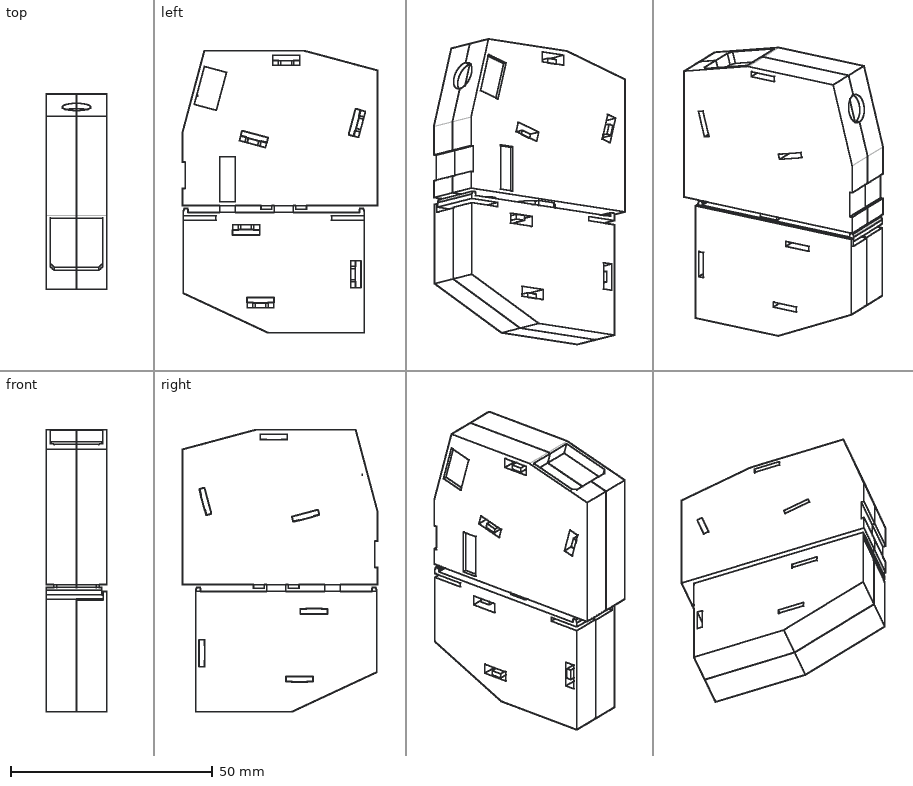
import cadquery as cq
import math

thickness = 15.1
length = 48.5
height = 70.1
half = thickness / 2
seam_gap = 0.1
seam_left = -seam_gap / 2
seam_right = seam_gap / 2
front_y = -length / 2
back_y = length / 2

upper_bottom = 31.6
slope_angle = 15.0
front_slope_run = 18.4
back_slope_run = 5.5
slope_sin = math.sin(math.radians(slope_angle))
slope_cos = math.cos(math.radians(slope_angle))
front_slope_drop = front_slope_run * slope_sin / slope_cos
back_slope_drop = back_slope_run * slope_cos / slope_sin
front_ridge_y = front_y + front_slope_run
back_ridge_y = back_y - back_slope_run

notch_depth = 0.7
notch_bottom = 35.9
notch_height = 6.5

pocket_width = 13.1
pocket_length = 13.4
pocket_depth = 3.0
pocket_rim = 0.7
pocket_chamfer = 1.0

finger_hole_diameter = 7.0
finger_hole_depth = 1.3
finger_hole_drop = 8.7
side_recess_depth = 1.0
grip_length = 9.75
grip_width = 5.7
grip_rim = 1.05

pin_diameter = 3.9
pin_y = 13.05
pin_recess_bottom = 32.5
pin_recess_height = 11.2

boss_y = -0.9
boss_diameter = 11.35
boss_height = 1.0
boss_slot_width = 5.9
post_width = 4.8

base_front_y = -20.95
base_back_y = 24.05
base_slope_angle = 25.0
base_slope_run = 21.1
base_slope_rise = base_slope_run * math.tan(math.radians(base_slope_angle))

plate_top = 29.9
plate_bottom = 29.0
web_bottom = 28.0
plate_right_x = 6.3
wall_inner_x = 6.6
undercut_length = 8.1
right_top_gap = 0.175

lip_width = 1.8
lip_height = 1.0
lip_taper_start = 0.2
lip_taper_end = 0.55
lip_taper_inset = 0.2
lip_top_inset = 0.4

window_length = 6.65
window_height = 2.5
ramp_height = 1.3
ramp_angle = 36.0
ramp_run = ramp_height / math.tan(math.radians(ramp_angle))
ramp_spacing = 3.85
tongue_width = 2.65
tongue_height = 1.2
tongue_inset = 0.4

upper_windows = [
    (-1.55, 67.65, 0),
    (6.5, 48.1, slope_angle),
    (-19.15, 52.1, slope_angle - 90),
]
base_windows = [
    (4.85, 7.5, 0),
    (8.4, 25.6, 180),
    (-18.8, 14.6, 90),
]


def box(x_range, y_range, z_range):
    """Block spanning the given ranges."""
    size = [r[1] - r[0] for r in (x_range, y_range, z_range)]
    return (
        cq.Workplane("XY")
        .box(*size, centered=False)
        .translate((x_range[0], y_range[0], z_range[0]))
    )


def side_prism(points, x_start, x_end):
    """(Y, Z) outline extruded along X."""
    return cq.Workplane("YZ", origin=(x_start, 0, 0)).polyline(points).close().extrude(x_end - x_start)




def left_window_cutter():
    """Opening through the left half, less the two ramps that stay standing beside the tongue."""
    window_end = window_length / 2
    floor = -window_height / 2
    opening = box((-half, seam_left), (-window_end, window_end), (floor, -floor))
    ramps = (
        cq.Workplane("XZ", origin=(0, window_end, 0))
        .polyline([(seam_left - ramp_run, floor), (seam_left, floor), (seam_left, floor + ramp_height)])
        .close()
        .extrude(window_length)
    )
    gap = box((-half, seam_left), (-ramp_spacing / 2, ramp_spacing / 2), (floor, -floor))
    return opening.cut(ramps.cut(gap))


def right_window_cutter():
    """Slot through the right half, above the root of the tongue."""
    floor = -window_height / 2
    return box((seam_right, half), (-window_length / 2, window_length / 2), (floor + tongue_height, -floor))


def tongue():
    """Latch tongue reaching from the right half along the floor of the left window."""
    floor = -window_height / 2
    return box(
        (-half + tongue_inset, seam_right),
        (-tongue_width / 2, tongue_width / 2),
        (floor, floor + tongue_height),
    )


def placed_in_windows(shape, windows):
    """Copies of a shape, one turned and moved into each window."""
    return [shape.rotate((0, 0, 0), (1, 0, 0), turn).translate((0, y, z)) for y, z, turn in windows]


def with_left_windows(body, windows):
    for cutter in placed_in_windows(left_window_cutter(), windows):
        body = body.cut(cutter)
    return body


def with_right_windows(body, windows):
    for cutter in placed_in_windows(right_window_cutter(), windows):
        body = body.cut(cutter)
    for placed_tongue in placed_in_windows(tongue(), windows):
        body = body.union(placed_tongue)
    return body




def label_pocket():
    """Pocket square to the front slope, with its lower corners chamfered."""
    plane = cq.Plane(
        origin=(0, front_ridge_y, height),
        xDir=(1, 0, 0),
        normal=(0, -slope_sin, slope_cos),
    )
    return (
        cq.Workplane(plane)
        .center(0, -pocket_rim - pocket_length / 2)
        .rect(pocket_width, pocket_length)
        .extrude(-pocket_depth)
        .edges(cq.selectors.ParallelDirSelector(plane.zDir))
        .edges("<Y")
        .chamfer(pocket_chamfer)
    )


def finger_hole():
    """Shallow round hole square to the back slope."""
    plane = cq.Plane(
        origin=(0, back_ridge_y, height),
        xDir=(1, 0, 0),
        normal=(0, slope_cos, slope_sin),
    )
    return (
        cq.Workplane(plane)
        .center(0, finger_hole_drop)
        .circle(finger_hole_diameter / 2)
        .extrude(-finger_hole_depth)
    )


def side_recesses():
    """Two rectangular recesses in the left side: one along the back slope, one above the pin."""
    floor_x = -half + side_recess_depth
    grip = (
        box((-half, floor_x), (-grip_rim - grip_width, -grip_rim), (-grip_length / 2, grip_length / 2))
        .translate((0, 0, -finger_hole_drop))
        .rotate((0, 0, 0), (1, 0, 0), slope_angle)
        .translate((0, back_ridge_y, height))
    )
    pin_recess = box(
        (-half, floor_x),
        (pin_y - pin_diameter / 2, pin_y + pin_diameter / 2),
        (pin_recess_bottom, pin_recess_bottom + pin_recess_height),
    )
    return grip.union(pin_recess)


def parted_boss():
    """Disc below the housing with a slot along X through its middle."""
    disc = (
        cq.Workplane("XY", origin=(0, boss_y, upper_bottom - boss_height))
        .circle(boss_diameter / 2)
        .extrude(boss_height)
    )
    slot = box(
        (-half, half),
        (boss_y - boss_slot_width / 2, boss_y + boss_slot_width / 2),
        (upper_bottom - boss_height, upper_bottom),
    )
    return disc.cut(slot)


def upper_half(x_start, x_end):
    """Part of the upper housing between two X positions, without its latch windows."""
    notch_y = back_y - notch_depth
    notch_top = notch_bottom + notch_height
    outline = [
        (front_y, upper_bottom),
        (back_y, upper_bottom),
        (back_y, notch_bottom),
        (notch_y, notch_bottom),
        (notch_y, notch_top),
        (back_y, notch_top),
        (back_y, height - back_slope_drop),
        (back_ridge_y, height),
        (front_ridge_y, height),
        (front_y, height - front_slope_drop),
    ]
    half_space = box((x_start, x_end), (front_y, back_y), (0, height))
    return (
        side_prism(outline, x_start, x_end)
        .union(parted_boss().intersect(half_space))
        .cut(label_pocket())
        .cut(finger_hole())
    )


def upper_left():
    body = upper_half(-half, seam_left).cut(side_recesses())
    return with_left_windows(body, upper_windows)


def upper_right():
    return with_right_windows(upper_half(seam_right, half), upper_windows)




def base_block(x_start, x_end, top):
    """Part of the base between two X positions, up to the given height."""
    outline = [
        (base_front_y, 0),
        (base_back_y - base_slope_run, 0),
        (base_back_y, base_slope_rise),
        (base_back_y, top),
        (base_front_y, top),
    ]
    return side_prism(outline, x_start, x_end)


def lip(outer_y, inward):
    """Tapered lip on the plate; `inward` is the Y sign pointing into the plate."""
    profile = [
        (0, 0),
        (0, lip_taper_start),
        (lip_taper_inset, lip_taper_end),
        (lip_top_inset, lip_height),
        (lip_width - lip_taper_inset, lip_height),
        (lip_width, lip_taper_end),
        (lip_width, 0),
    ]
    points = [(outer_y + inward * y, plate_top + z) for y, z in profile]
    return side_prism(points, -half, plate_right_x)


def top_plate():
    """Plate with its two lips, and the web under its middle."""
    plate = box((-half, plate_right_x), (base_front_y, base_back_y), (plate_bottom, plate_top))
    web = box(
        (-half, wall_inner_x),
        (base_front_y + undercut_length, base_back_y - undercut_length),
        (web_bottom, plate_bottom),
    )
    return plate.union(web).union(lip(base_front_y, 0.7)).union(lip(base_back_y, -0.7))


def post_and_pin():
    """Square post inside the parted boss and the round pin behind it, up to the upper housing."""
    rise = upper_bottom - plate_top
    post = box(
        (-boss_diameter / 2, boss_diameter / 2),
        (boss_y - post_width / 2, boss_y + post_width / 2),
        (plate_top, upper_bottom),
    )
    pin = cq.Workplane("XY", origin=(0, pin_y, plate_top)).circle(pin_diameter / 2).extrude(rise)
    return post.union(pin)


def base_left():
    body = base_block(-half, seam_left, web_bottom).union(top_plate()).union(post_and_pin())
    return with_left_windows(body, base_windows)


def base_right():
    wall = box((wall_inner_x, half), (base_front_y, base_back_y), (web_bottom - right_top_gap, plate_top))
    body = base_block(seam_right, half, web_bottom - right_top_gap).union(wall)
    return with_right_windows(body, base_windows)


result = cq.Compound.makeCompound([
    upper_left().val(),
    upper_right().val(),
    base_left().val(),
    base_right().val(),
])